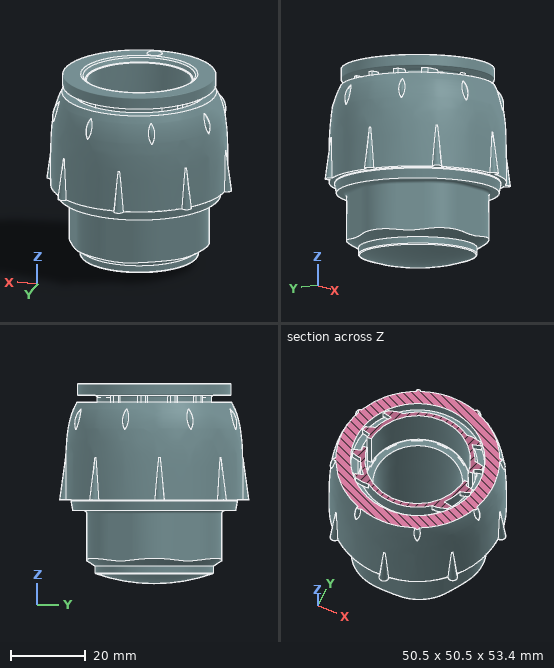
import cadquery as cq
import math

HEX_BOTTOM_Z = 4.7
SHOULDER_Z = 19.5
NUT_BOTTOM_Z = 22.4
STOP_Z = 34.25
GRIP_TOP_Z = 34.45
CLAMP_TOP_Z = 42.7
NUT_TOP_Z = 48.45
FLANGE_BOTTOM_Z = 50.25
TOP_Z = 53.35

TURN = 3.4

DOME_SPHERE_R = 46.95
RIM_R = 15.85
RIM_CHAMFER = 0.25
HEX_TURN = 30.0
HEX_FLAT_R = 18.05
HEX_CORNER_R = 11.4
HEX_CONE_SLOPE = 0.64
HEX_TOP_FILLET = 0.9
ROOT_LIMIT = 20.25
ROOT_LIMIT_HEIGHT = 0.05
SHOULDER_BOTTOM_R = 21.75
SHOULDER_TOP_R = 22.25
SHOULDER_CHAMFER = 0.3
THREAD_R = 20.8
STOP_INNER_R = 12.0
BORE_BOTTOM_R = 11.25
FLOOR_R = 9.2
FLOOR_THICKNESS = 2.65
FLOOR_FILLET_HEIGHT = 2.4

NUT_R = 23.7
NUT_BAND_TOP_Z = 23.15
NUT_TOP_R = 20.65
NUT_BARREL_POWER = 4.6
NUT_BARREL_STEPS = 5
LIP_R = 17.85
FIN_COUNT = 8
FIN_TOP_Z = 33.6
FIN_BASE_R, FIN_BASE_PLACE = 1.3, 24.0
FIN_TIP_R, FIN_TIP_PLACE = 0.25, 23.5
BUMP_R = 0.85
BUMP_LOW = (23.15, 41.15)
BUMP_HIGH = (21.45, 46.7)
BUMP_ANGLE = 25.1

FLANGE_R = 20.5
FLANGE_FILLET = 0.2
NECK_R = 15.3
NECK_FILLET = 0.55
COLLET_BORE_R = 14.1
COLLET_BOTTOM_BORE_R = 13.9
LEAD_IN = [(COLLET_BORE_R, 51.75), (14.35, 51.9), (15.0, 53.0), (15.65, TOP_Z)]
RIB_OUTER_R = 17.6
RIB_BOTTOM_Z = 43.75
RIB_BASE_WIDTH = 2.65
RIB_TIP_WIDTH = 1.2
RIB_PLACES = (-10.95, -3.95, 3.95, 10.95)
SLOT_WIDTH = 2.9
SLOT_TOP_Z = 46.4

MARKER_R = 2.05
MARKER_PLACE_R = 17.85
MARKER_DEPTH = 0.55

TOOTH_COUNT = 12
TOOTH_WIDTH = 2.95
TOOTH_TIP_R = 13.55
TOOTH_BLANK_LENGTH = 2.15
GRIP_INNER_R = 13.9
CLAMP_INNER_R = 16.0


def sphere_height(sphere_r, radius):
    """Height at a radius of a sphere that is centred DOME_SPHERE_R above the bottom."""
    return DOME_SPHERE_R - math.sqrt(sphere_r**2 - radius**2)


def tube(outer_r, inner_r, bottom_z, top_z):
    ring = cq.Workplane("XY").workplane(offset=bottom_z).circle(outer_r).circle(inner_r)
    return ring.extrude(top_z - bottom_z)


def cylinder(radius, bottom_z, top_z):
    return cq.Workplane("XY").workplane(offset=bottom_z).circle(radius).extrude(top_z - bottom_z)


def around_z(shape, degrees):
    return shape.rotate((0, 0, 0), (0, 0, 1), degrees)


def make_dome():
    edge_r = RIM_R - RIM_CHAMFER
    edge_z = sphere_height(DOME_SPHERE_R, edge_r)
    mid_r = edge_r / 2
    return (
        cq.Workplane("XZ")
        .moveTo(0, 0)
        .threePointArc((mid_r, sphere_height(DOME_SPHERE_R, mid_r)), (edge_r, edge_z))
        .lineTo(RIM_R, edge_z + RIM_CHAMFER)
        .lineTo(RIM_R, HEX_BOTTOM_Z)
        .lineTo(0, HEX_BOTTOM_Z)
        .close()
        .revolve()
    )


def make_hex_grip():
    hexagon = (
        cq.Workplane("XY")
        .workplane(offset=HEX_BOTTOM_Z)
        .polygon(6, 2 * HEX_FLAT_R, circumscribed=True)
        .extrude(SHOULDER_Z - HEX_BOTTOM_Z)
        .edges("|Z")
        .fillet(HEX_CORNER_R)
        .rotate((0, 0, 0), (0, 0, 1), HEX_TURN)
    )
    cone_z = HEX_BOTTOM_Z + (SHOULDER_TOP_R - RIM_R) * HEX_CONE_SLOPE
    cone_limit = (
        cq.Workplane("XZ")
        .polyline([
            (0, HEX_BOTTOM_Z),
            (RIM_R, HEX_BOTTOM_Z),
            (SHOULDER_TOP_R, cone_z),
            (SHOULDER_TOP_R, SHOULDER_Z),
            (0, SHOULDER_Z),
        ])
        .close()
        .revolve()
    )
    return hexagon.intersect(cone_limit)


def make_shoulder():
    return (
        cq.Workplane("XZ")
        .polyline([
            (0, SHOULDER_Z),
            (SHOULDER_BOTTOM_R, SHOULDER_Z),
            (SHOULDER_TOP_R, NUT_BOTTOM_Z - SHOULDER_CHAMFER),
            (SHOULDER_TOP_R - SHOULDER_CHAMFER / 2, NUT_BOTTOM_Z),
            (0, NUT_BOTTOM_Z),
        ])
        .close()
        .revolve()
    )


def make_body_bore():
    floor_sphere_r = DOME_SPHERE_R - FLOOR_THICKNESS
    floor_edge_z = sphere_height(floor_sphere_r, FLOOR_R)
    mid_r = FLOOR_R / 2
    return (
        cq.Workplane("XZ")
        .moveTo(0, FLOOR_THICKNESS)
        .threePointArc((mid_r, sphere_height(floor_sphere_r, mid_r)), (FLOOR_R, floor_edge_z))
        .tangentArcPoint((BORE_BOTTOM_R, floor_edge_z + FLOOR_FILLET_HEIGHT), relative=False)
        .lineTo(STOP_INNER_R, STOP_Z)
        .lineTo(0, STOP_Z)
        .close()
        .revolve()
    )


def make_body():
    outside = make_hex_grip().union(make_shoulder())
    root_edges = cq.selectors.BoxSelector(
        (-ROOT_LIMIT, -ROOT_LIMIT, SHOULDER_Z - ROOT_LIMIT_HEIGHT),
        (ROOT_LIMIT, ROOT_LIMIT, SHOULDER_Z + ROOT_LIMIT_HEIGHT),
        boundingbox=True,
    )
    outside = outside.edges(root_edges).fillet(HEX_TOP_FILLET)
    outside = outside.union(make_dome())
    outside = outside.union(cylinder(THREAD_R, NUT_BOTTOM_Z, STOP_Z))
    return outside.cut(make_body_bore())


def nut_radius(height):
    """Outer radius of the barrel-shaped nut wall, which curves in toward the top."""
    share = (height - NUT_BAND_TOP_Z) / (NUT_TOP_Z - NUT_BAND_TOP_Z)
    return NUT_R - (NUT_R - NUT_TOP_R) * share**NUT_BARREL_POWER


def make_fin():
    height = FIN_TOP_Z - NUT_BOTTOM_Z
    return (
        cq.Workplane("XY")
        .workplane(offset=NUT_BOTTOM_Z)
        .center(FIN_BASE_PLACE, 0)
        .circle(FIN_BASE_R)
        .workplane(offset=height)
        .center(FIN_TIP_PLACE - FIN_BASE_PLACE, 0)
        .circle(FIN_TIP_R)
        .loft(ruled=True)
    )


def make_bump():
    """Spindle whose axis follows the slope of the nut wall."""
    run = BUMP_HIGH[0] - BUMP_LOW[0]
    rise = BUMP_HIGH[1] - BUMP_LOW[1]
    length = math.hypot(run, rise)
    crest = (
        (BUMP_LOW[0] + BUMP_HIGH[0]) / 2 + BUMP_R * rise / length,
        (BUMP_LOW[1] + BUMP_HIGH[1]) / 2 - BUMP_R * run / length,
    )
    profile = cq.Workplane("XZ").moveTo(*BUMP_LOW).threePointArc(crest, BUMP_HIGH).close()
    return profile.revolve(360, BUMP_LOW, BUMP_HIGH)


def make_nut():
    barrel = []
    for step in range(1, NUT_BARREL_STEPS + 1):
        height = NUT_BAND_TOP_Z + (NUT_TOP_Z - NUT_BAND_TOP_Z) * step / NUT_BARREL_STEPS
        barrel.append((nut_radius(height), height))
    nut = (
        cq.Workplane("XZ")
        .moveTo(THREAD_R, NUT_BOTTOM_Z)
        .lineTo(NUT_R, NUT_BOTTOM_Z)
        .lineTo(NUT_R, NUT_BAND_TOP_Z)
        .spline(barrel, includeCurrent=True)
        .lineTo(LIP_R, NUT_TOP_Z)
        .lineTo(LIP_R, CLAMP_TOP_Z)
        .lineTo(THREAD_R, CLAMP_TOP_Z)
        .close()
        .revolve()
    )
    bore = cylinder(THREAD_R, NUT_BOTTOM_Z, CLAMP_TOP_Z)
    for index in range(FIN_COUNT):
        step = index * 360 / FIN_COUNT
        nut = nut.union(around_z(make_fin(), TURN + step))
        nut = nut.union(around_z(make_bump(), BUMP_ANGLE + step))
    return nut.cut(bore)


def make_collet_ribs():
    """Ribs on both sides of the neck, all pointing along X and tapering outward."""
    limit = tube(RIB_OUTER_R, NECK_R - NECK_FILLET, RIB_BOTTOM_Z, FLANGE_BOTTOM_Z)
    ribs = cq.Workplane("XY")
    for side in (-1, 1):
        for place in RIB_PLACES:
            root_x = side * math.sqrt(NECK_R**2 - place**2)
            tip_x = side * math.sqrt(RIB_OUTER_R**2 - place**2)
            reach = tip_x - root_x
            inner_x = root_x - reach
            outer_x = tip_x + reach
            base = RIB_BASE_WIDTH / 2
            tip = RIB_TIP_WIDTH / 2
            rib = (
                cq.Workplane("XY")
                .workplane(offset=RIB_BOTTOM_Z)
                .polyline([
                    (inner_x, place - base),
                    (root_x, place - base),
                    (tip_x, place - tip),
                    (outer_x, place - tip),
                    (outer_x, place + tip),
                    (tip_x, place + tip),
                    (root_x, place + base),
                    (inner_x, place + base),
                ])
                .close()
                .extrude(FLANGE_BOTTOM_Z - RIB_BOTTOM_Z)
            )
            ribs = ribs.add(rib.intersect(limit))
    return ribs


def make_marker_disc():
    disc = cylinder(MARKER_R, TOP_Z - MARKER_DEPTH, TOP_Z).translate((MARKER_PLACE_R, 0, 0))
    return around_z(disc, TURN - 90)


def make_collet():
    sleeve = (
        cq.Workplane("XZ")
        .moveTo(COLLET_BOTTOM_BORE_R, GRIP_TOP_Z)
        .lineTo(NECK_R, GRIP_TOP_Z)
        .lineTo(NECK_R, FLANGE_BOTTOM_Z - NECK_FILLET)
        .radiusArc((NECK_R + NECK_FILLET, FLANGE_BOTTOM_Z), NECK_FILLET)
        .lineTo(FLANGE_R, FLANGE_BOTTOM_Z)
        .lineTo(FLANGE_R, TOP_Z)
    )
    for point in reversed(LEAD_IN):
        sleeve = sleeve.lineTo(*point)
    sleeve = sleeve.close().revolve()
    sleeve = sleeve.edges(cq.selectors.RadiusNthSelector(-1)).fillet(FLANGE_FILLET)
    for rib in make_collet_ribs().vals():
        sleeve = sleeve.union(cq.Workplane(rib))
    slot = (
        cq.Workplane("XY")
        .workplane(offset=GRIP_TOP_Z)
        .rect(2 * FLANGE_R, SLOT_WIDTH)
        .extrude(SLOT_TOP_Z - GRIP_TOP_Z)
    )
    return around_z(sleeve.cut(slot), TURN).cut(make_marker_disc())


def make_grip_ring():
    ring = tube(THREAD_R, GRIP_INNER_R, STOP_Z, GRIP_TOP_Z)
    limit = tube(THREAD_R, TOOTH_TIP_R, STOP_Z, GRIP_TOP_Z)
    tooth = (
        cq.Workplane("XY")
        .workplane(offset=STOP_Z)
        .center((TOOTH_TIP_R + GRIP_INNER_R) / 2, 0)
        .rect(TOOTH_BLANK_LENGTH, TOOTH_WIDTH)
        .extrude(GRIP_TOP_Z - STOP_Z)
        .intersect(limit)
    )
    for index in range(TOOTH_COUNT):
        ring = ring.union(around_z(tooth, index * 360 / TOOTH_COUNT - TURN))
    return ring


def make_clamp_ring():
    return tube(THREAD_R, CLAMP_INNER_R, GRIP_TOP_Z, CLAMP_TOP_Z)


body = make_body()
nut = make_nut()
collet = make_collet()
marker = make_marker_disc()
grip_ring = make_grip_ring()
clamp_ring = make_clamp_ring()

result = cq.Compound.makeCompound([
    body.val(),
    nut.val(),
    collet.val(),
    marker.val(),
    grip_ring.val(),
    clamp_ring.val(),
])